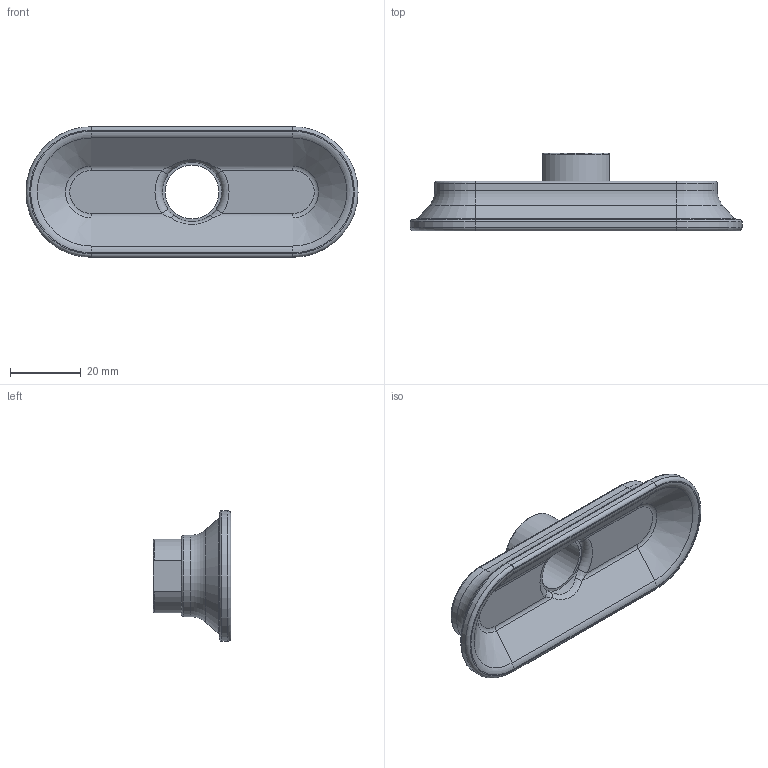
import cadquery as cq
import math

OVERALL_LENGTH = 94.0
OVERALL_WIDTH = 37.0
RIM_RADIUS = OVERALL_WIDTH / 2
HALF_STRAIGHT = OVERALL_LENGTH / 2 - RIM_RADIUS
BODY_DEPTH = 14.0
OVERALL_DEPTH = 22.0

RIM_FRONT_FILLET = 1.0
RIM_BACK_FILLET = 0.6
RIM_EDGE_THICKNESS = 3.15
RIM_FOOT_THICKNESS = 3.4
NECK_RADIUS = 11.5
NECK_START = 11.4
NECK_BLEND_RADIUS = 6.5
NECK_BACK_FILLET = 0.6
SKIRT_ANGLE = math.radians(41)

LIP_RADIUS = 17.2
LIP_BLEND_RADIUS = 3.0
CAVITY_DEPTH = 7.55
FLOOR_FILLET = 2.0
CAVITY_WALL_ANGLE = math.radians(39)

BOSS_DIAMETER = 21.0
BOSS_ACROSS_FLATS = 19.0
BOSS_CHAMFER = 0.3
BORE_DIAMETER = 15.25
COUNTERBORE_DIAMETER = 16.8
COUNTERBORE_LEDGE = 9.9
COUNTERBORE_FILLET = 2.1
EDGE_SEARCH_MARGIN = 0.5

QUARTER_TURN = math.pi / 2


def arc_point(center, radius, angle):
    return (center[0] + radius * math.cos(angle), center[1] + radius * math.sin(angle))


def add_arc(sketch, center, radius, start, end):
    """Draw a line to the start of an arc, then the arc itself."""
    middle = arc_point(center, radius, (start + end) / 2)
    return (
        sketch.lineTo(*arc_point(center, radius, start))
        .threePointArc(middle, arc_point(center, radius, end))
    )


def outer_profile(plane):
    """Half section of the body: first axis is the radius, second is Y."""
    front_center = (RIM_RADIUS - RIM_FRONT_FILLET, RIM_FRONT_FILLET)
    back_center = (RIM_RADIUS - RIM_BACK_FILLET, RIM_EDGE_THICKNESS - RIM_BACK_FILLET)
    blend_center = (NECK_RADIUS + NECK_BLEND_RADIUS, NECK_START)
    neck_center = (NECK_RADIUS - NECK_BACK_FILLET, BODY_DEPTH - NECK_BACK_FILLET)
    blend_start = arc_point(blend_center, NECK_BLEND_RADIUS, math.pi + SKIRT_ANGLE)
    foot_radius = blend_start[0] + (blend_start[1] - RIM_FOOT_THICKNESS) * math.tan(SKIRT_ANGLE)

    sketch = cq.Workplane(plane).moveTo(0, 0)
    sketch = add_arc(sketch, front_center, RIM_FRONT_FILLET, -QUARTER_TURN, 0)
    sketch = add_arc(sketch, back_center, RIM_BACK_FILLET, 0, QUARTER_TURN)
    sketch = sketch.lineTo(foot_radius, RIM_FOOT_THICKNESS)
    sketch = add_arc(sketch, blend_center, NECK_BLEND_RADIUS, math.pi + SKIRT_ANGLE, math.pi)
    sketch = add_arc(sketch, neck_center, NECK_BACK_FILLET, 0, QUARTER_TURN)
    return sketch.lineTo(0, BODY_DEPTH).close()


def cavity_profile(plane):
    """Half section of the cavity: first axis is the radius, second is Y."""
    lip_center = (LIP_RADIUS, LIP_BLEND_RADIUS)
    wall_start = arc_point(lip_center, LIP_BLEND_RADIUS, -QUARTER_TURN - CAVITY_WALL_ANGLE)
    wall_end_y = CAVITY_DEPTH - FLOOR_FILLET * (1 - math.cos(CAVITY_WALL_ANGLE))
    wall_end_radius = wall_start[0] - (wall_end_y - wall_start[1]) / math.tan(CAVITY_WALL_ANGLE)
    floor_radius = wall_end_radius - FLOOR_FILLET * math.sin(CAVITY_WALL_ANGLE)
    floor_center = (floor_radius, CAVITY_DEPTH - FLOOR_FILLET)

    sketch = cq.Workplane(plane).moveTo(0, 0)
    sketch = add_arc(sketch, lip_center, LIP_BLEND_RADIUS, -QUARTER_TURN, -QUARTER_TURN - CAVITY_WALL_ANGLE)
    sketch = add_arc(sketch, floor_center, FLOOR_FILLET, QUARTER_TURN - CAVITY_WALL_ANGLE, QUARTER_TURN)
    return sketch.lineTo(0, CAVITY_DEPTH).close()


def oblong(profile):
    """Carry a half section around an oblong: two straight sides and two round ends."""
    across = cq.Plane(origin=(-HALF_STRAIGHT, 0, 0), xDir=(0, 0, -1), normal=(1, 0, 0))
    lower_side = profile(across).extrude(2 * HALF_STRAIGHT)
    left_end = profile(across).revolve(180, (0, 0, 0), (0, 1, 0))
    sides = lower_side.union(lower_side.mirror("XY"))
    return sides.union(left_end).union(left_end.mirror("YZ"))


def cylinder(diameter, start, end):
    """Round bar along Y between two Y positions."""
    return (
        cq.Workplane("XZ", origin=(0, start, 0))
        .circle(diameter / 2)
        .extrude(start - end)
    )


def boss():
    """Round boss with two flats facing -X and +X."""
    bar = cylinder(BOSS_DIAMETER, BODY_DEPTH, OVERALL_DEPTH).faces(">Y").chamfer(BOSS_CHAMFER)
    flats = cq.Workplane("XY").box(BOSS_ACROSS_FLATS, 2 * OVERALL_DEPTH, BOSS_DIAMETER)
    return bar.intersect(flats)


def cut_counterbore(cup):
    """Sink a counterbore into the cavity and round the edge where it breaks through the walls."""
    cup = cup.cut(cylinder(COUNTERBORE_DIAMETER, 0, COUNTERBORE_LEDGE))
    reach = COUNTERBORE_DIAMETER / 2 + EDGE_SEARCH_MARGIN
    below_floor = (CAVITY_DEPTH + COUNTERBORE_LEDGE) / 2
    mouth = cq.selectors.BoxSelector(
        (-reach, 0, -reach),
        (reach, below_floor, reach),
        boundingbox=True,
    )
    return cup.edges(mouth).fillet(COUNTERBORE_FILLET)


cup = oblong(outer_profile).cut(oblong(cavity_profile)).union(boss())
cup = cut_counterbore(cup)
result = cup.cut(cylinder(BORE_DIAMETER, 0, OVERALL_DEPTH))